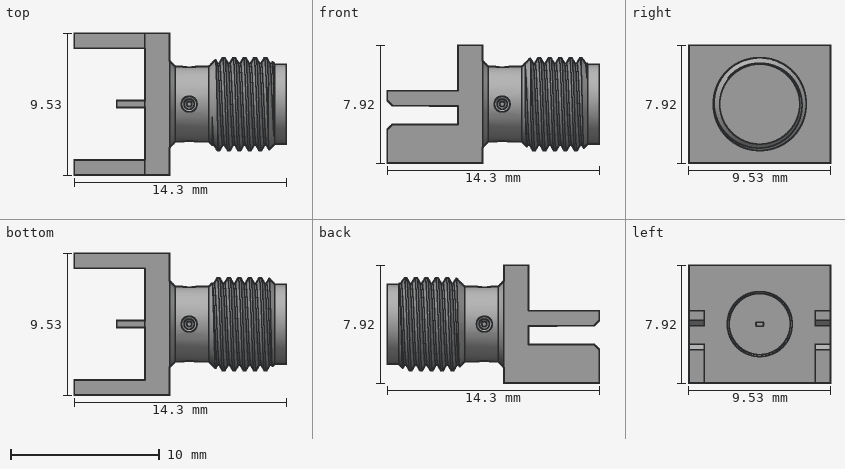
import cadquery as cq
import math


total_length = 14.27
flange_thickness = 1.65
flange_width = 9.53
flange_height = 7.92
leg_length = 4.77
leg_width = 1.03
leg_chamfer = 0.35
upper_leg_top = 0.91
upper_leg_bottom = -0.11
lower_leg_top = -1.35

insulator_diameter = 4.11
recess_depth = 0.13
pin_length = 1.9
pin_diameter = 0.51
pin_thickness = 0.25

neck_radius = 5.08 / 2
neck_end = 4.3
neck_flare = 0.37
nose_radius = 5.38 / 2
nose_start = 8.72
barrel_end = total_length - leg_length

crest_radius = 3.13
thread_depth = 0.37
groove_turns = 7
groove_length = 4.92
thread_pitch = groove_length / groove_turns
thread_half_angle = math.radians(30)
groove_root_width = 0.135
groove_start = 4.05
groove_clearance = 0.07

hole_position = 2.97
hole_count = 4
hole_radius = 0.34
hole_lip_radius = 0.19
hole_floor_radius = 0.17
hole_lip_top = 2.48
hole_floor = 2.14


def make_leg(side, bottom, top, chamfered_edge):
    """Leg flush with one side of the flange; the chamfer faces the board slot."""
    center_y = side * (flange_width - leg_width) / 2
    leg = (
        cq.Workplane("XY")
        .box(leg_length, leg_width, top - bottom)
        .faces("<X")
        .edges(chamfered_edge)
        .chamfer(leg_chamfer)
    )
    return leg.translate((-leg_length / 2, center_y, (top + bottom) / 2))


def make_flange():
    flange = cq.Workplane("XY").box(flange_thickness, flange_width, flange_height)
    flange = flange.translate((flange_thickness / 2, 0, 0))
    for side in (-1, 1):
        flange = flange.union(make_leg(side, upper_leg_bottom, upper_leg_top, "<Z"))
        flange = flange.union(make_leg(side, -flange_height / 2, lower_leg_top, ">Z"))
    return flange


def make_recess():
    """Shallow 45 degree conical recess that ends on the insulator face."""
    floor_radius = insulator_diameter / 2
    return (
        cq.Workplane("XY")
        .moveTo(0, 0)
        .lineTo(0, floor_radius + recess_depth)
        .lineTo(recess_depth, floor_radius)
        .lineTo(recess_depth, 0)
        .close()
        .revolve(360, (0, 0, 0), (1, 0, 0))
    )


def make_pin():
    """Round pin flattened above and below, rooted in the flange."""
    length = pin_length + flange_thickness
    pin = cq.Workplane("YZ").circle(pin_diameter / 2).extrude(length)
    flats = cq.Workplane("YZ").rect(pin_diameter, pin_thickness).extrude(length)
    return pin.intersect(flats).translate((-pin_length, 0, 0))


def make_barrel():
    """Flared neck, thread blank with 45 degree ends, and plain nose."""
    lead_in = crest_radius - neck_radius
    lead_out = crest_radius - nose_radius
    return (
        cq.Workplane("XY")
        .moveTo(flange_thickness, 0)
        .lineTo(flange_thickness, neck_radius + neck_flare)
        .lineTo(flange_thickness + neck_flare, neck_radius)
        .lineTo(neck_end, neck_radius)
        .lineTo(neck_end + lead_in, crest_radius)
        .lineTo(nose_start - lead_out, crest_radius)
        .lineTo(nose_start, nose_radius)
        .lineTo(barrel_end, nose_radius)
        .lineTo(barrel_end, 0)
        .close()
        .revolve(360, (0, 0, 0), (1, 0, 0))
    )


def make_thread_groove():
    """Right-hand helical V groove that runs out past both ends of the thread."""
    root_radius = crest_radius - thread_depth
    outer_radius = crest_radius + groove_clearance
    root_half = groove_root_width / 2
    outer_half = root_half + (outer_radius - root_radius) * math.tan(thread_half_angle)
    helix = cq.Wire.makeHelix(thread_pitch, groove_length, root_radius)
    groove = (
        cq.Workplane("XZ")
        .moveTo(root_radius, -root_half)
        .lineTo(outer_radius, -outer_half)
        .lineTo(outer_radius, outer_half)
        .lineTo(root_radius, root_half)
        .close()
        .sweep(cq.Workplane(helix), isFrenet=True)
    )
    return groove.rotate((0, 0, 0), (0, 1, 0), 90).translate((groove_start, 0, 0))


def make_neck_hole():
    """Cutter for a hole with a rounded lip and a tapered bottom, pointing up."""
    mouth_radius = hole_radius + hole_lip_radius
    lip_bottom = hole_lip_top - hole_lip_radius
    lip_middle = (
        mouth_radius - hole_lip_radius * math.cos(math.pi / 4),
        lip_bottom + hole_lip_radius * math.sin(math.pi / 4),
    )
    return (
        cq.Workplane("XZ")
        .moveTo(0, hole_floor)
        .lineTo(hole_floor_radius, hole_floor)
        .lineTo(hole_radius, lip_bottom)
        .threePointArc(lip_middle, (mouth_radius, hole_lip_top))
        .lineTo(mouth_radius, crest_radius)
        .lineTo(0, crest_radius)
        .close()
        .revolve(360, (0, 0, 0), (0, 1, 0))
        .translate((hole_position, 0, 0))
    )


barrel = make_barrel().rotate((0, 0, 0), (1, 0, 0), 180).cut(make_thread_groove())
neck_hole = make_neck_hole()
for index in range(hole_count):
    barrel = barrel.cut(neck_hole.rotate((0, 0, 0), (1, 0, 0), index * 360 / hole_count))

result = make_flange().cut(make_recess()).union(make_pin()).union(barrel)